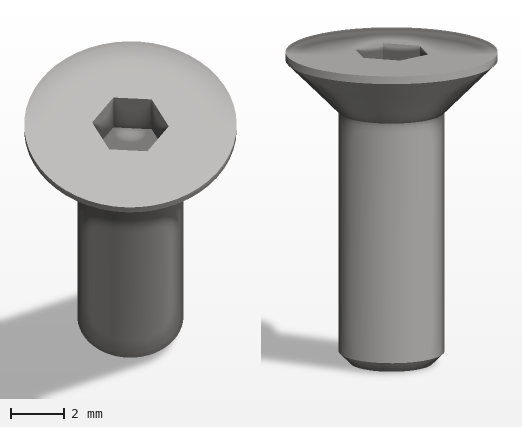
import cadquery as cq
import math

head_diameter = 8.0
shank_diameter = 4.0
total_length = 12.0
rim_height = 0.3
tip_diameter = 3.14
socket_across_flats = 2.5
socket_depth = 1.8

head_radius = head_diameter / 2
shank_radius = shank_diameter / 2
tip_radius = tip_diameter / 2
cone_height = head_radius - shank_radius
tip_chamfer = shank_radius - tip_radius


def make_body():
    """Revolve the half profile of head, shank and chamfered tip."""
    return (
        cq.Workplane("XZ")
        .moveTo(0, 0)
        .lineTo(head_radius, 0)
        .lineTo(head_radius, -rim_height)
        .lineTo(shank_radius, -rim_height - cone_height)
        .lineTo(shank_radius, -total_length + tip_chamfer)
        .lineTo(tip_radius, -total_length)
        .lineTo(0, -total_length)
        .close()
        .revolve(360, (0, 0, 0), (0, 1, 0))
    )


def make_socket():
    """Hexagonal drive recess with two corners on the X axis."""
    across_corners = socket_across_flats / math.cos(math.radians(30))
    return cq.Workplane("XY").polygon(6, across_corners).extrude(-socket_depth)


result = make_body().cut(make_socket())